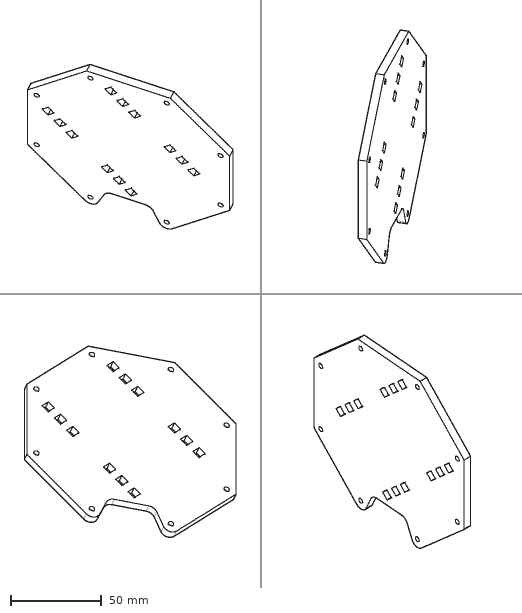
import cadquery as cq
import math

plate_width = 120.7
plate_height = 121.0
thickness = 5.0

notch_depth = 15.1
notch_side_tilt = math.radians(22.5)
leg_radius = 4.6
notch_radius = 5.0

hole_diameter = 3.0
hole_near = 22.8
hole_far = 54.8

window_side = 5.0
window_pitch = 10.0
windows_per_row = 3
row_starts = (-42.2, 7.7)
row_levels = (-25.7, 27.2)
window_turn = -45.0

half_width = plate_width / 2
half_side = half_width * math.tan(math.pi / 8)
diagonal_sum = half_width + half_side

diagonal_tilt = math.radians(45)
half_wedge = (diagonal_tilt + notch_side_tilt) / 2
wedge_lean = (diagonal_tilt - notch_side_tilt) / 2
tip_to_arc_center = leg_radius / math.sin(half_wedge)
arc_center_z = half_width - plate_height + leg_radius
tip_z = arc_center_z - tip_to_arc_center * math.cos(wedge_lean)
tip_x = diagonal_sum + tip_z

notch_z = notch_depth - half_width
notch_x = tip_x - (notch_z - tip_z) * math.tan(notch_side_tilt)


def round_corners(body, x, z, radius):
    """Fillet the mirrored pair of through-thickness edges at (+/-x, z)."""
    for side in (-1, 1):
        corner = cq.Vector(side * x, 0, z)
        body = body.edges("|Y").edges(cq.selectors.NearestToPointSelector(corner)).fillet(radius)
    return body


def make_plate():
    right_outline = [
        (notch_x, notch_z),
        (tip_x, tip_z),
        (half_width, -half_side),
        (half_width, half_side),
        (half_side, half_width),
    ]
    left_outline = [(-x, z) for x, z in reversed(right_outline)]
    plate = (
        cq.Workplane("XZ")
        .polyline(right_outline + left_outline)
        .close()
        .extrude(thickness / 2, both=True)
    )
    plate = round_corners(plate, tip_x, tip_z, leg_radius)
    return round_corners(plate, notch_x, notch_z, notch_radius)


def make_holes():
    offsets = [(hole_near, hole_far), (hole_far, hole_near)]
    centers = [(sx * x, sz * z) for x, z in offsets for sx in (-1, 1) for sz in (-1, 1)]
    return (
        cq.Workplane("XZ")
        .pushPoints(centers)
        .circle(hole_diameter / 2)
        .extrude(thickness, both=True)
    )


def make_windows():
    centers = [
        (start + i * window_pitch, level)
        for start in row_starts
        for level in row_levels
        for i in range(windows_per_row)
    ]
    return (
        cq.Workplane("XZ")
        .transformed(rotate=(0, 0, window_turn))
        .pushPoints(centers)
        .rect(window_side, window_side)
        .extrude(thickness, both=True)
    )


result = make_plate().cut(make_holes()).cut(make_windows())